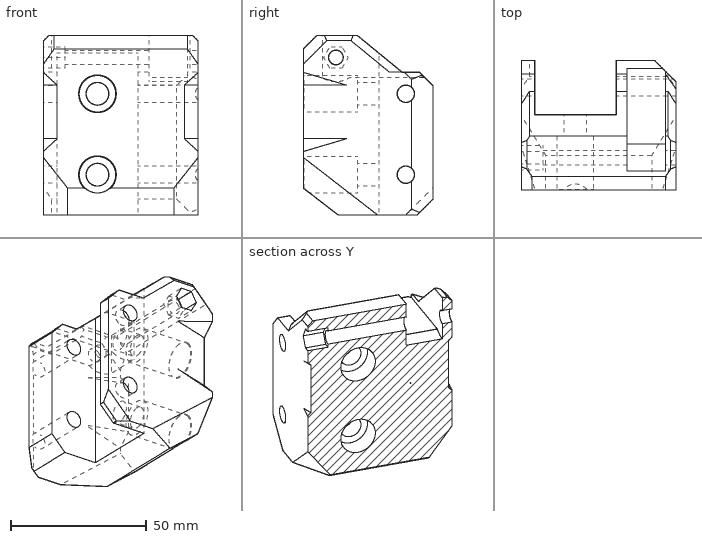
import cadquery as cq

WIDTH = 57.2
DEPTH = 48.0
HEIGHT = 66.5

LEDGE_Z = 52.9
SLOPE_FRONT_Y = 19.95
SLOPE_REAR_Y = 36.6
ROOF_CHAMFER = 5.0
NOSE_RUN_Y = 12.9
NOSE_RISE_Z = 10
HEEL_CHAMFER = 6

ROOF_BEVEL = 2
FRONT_BEVEL = 4
SLOPE_BEVEL = 3.0
NOSE_BEVEL = 9.0
HEEL_BEVEL = 3.0
LEDGE_BEVEL = 4
REAR_CORNER_CHAMFER = 8

LEFT_WALL = 5.0
CHANNEL_WIDTH = 30.0
CHANNEL_FRONT_Y = 27.9

BORE_DIAMETER = 8.3
COUNTERBORE_DIAMETER = 13.5
COUNTERBORE_RIM_DIAMETER = 13.95
COUNTERBORE_DEPTH = 19.95
HOLE_SPACING = 29.9
LOWER_HOLE_Z = 14.95
HOLE_LEVELS = (LOWER_HOLE_Z, LOWER_HOLE_Z + HOLE_SPACING)

CROSS_HOLE_DIAMETER = 6.3
CROSS_HOLE_Y = 37.9

SLOT_LEFT_X = 39.1
SLOT_WIDTH = 14.15
SLOT_FLOOR_Z = 50.95
SLOT_SWING_DIAMETER = 17.95
SLOT_HALF_LENGTH = 5.0
PIVOT_Y = 12.05
PIVOT_Z = 58.3
PIVOT_DIAMETER = 5.3
NUT_SIDES = 6
NUT_ACROSS_CORNERS = 9.1
NUT_DEPTH = 8

RECESS_X = 5.05
RECESS_Y = 15.95
RECESS_CENTER_Z = 38.2
RECESS_FLAT_HEIGHT = 19.8
RECESS_FULL_HEIGHT = 29.25


def mirror_to_right(tool):
    """Mirror a -X side tool about the middle of the width."""
    return tool.mirror("YZ", (WIDTH / 2, 0, 0))


def bevel_tool(start, end, size):
    """Prism that bevels the -X rim of the profile face from start to end, both (y, z)."""
    edge = cq.Vector(0, end[0] - start[0], end[1] - start[1])
    plane = cq.Plane(origin=(0, *start), xDir=(1, 0, 0), normal=edge)
    triangle = [(-size, -size), (2 * size, -size), (-size, 2 * size)]
    return cq.Workplane(plane).polyline(triangle).close().extrude(edge.Length + DEPTH, both=True)


def bevelled_block(profile, bevels):
    """Extrude a convex clockwise (y, z) profile along X and bevel the rims of its faces.

    bevels maps the index of a face's first point to its (-X, +X) bevel sizes.
    """
    block = cq.Workplane("YZ").polyline(profile).close().extrude(WIDTH)
    for index, (left_size, right_size) in bevels.items():
        start = profile[index]
        end = profile[(index + 1) % len(profile)]
        if left_size:
            block = block.cut(bevel_tool(start, end, left_size))
        if right_size:
            block = block.cut(mirror_to_right(bevel_tool(start, end, right_size)))
    return block


def lower_block():
    profile = [
        (NOSE_RUN_Y, 0),
        (0, NOSE_RISE_Z),
        (0, LEDGE_Z),
        (DEPTH - ROOF_CHAMFER, LEDGE_Z),
        (DEPTH, LEDGE_Z - ROOF_CHAMFER),
        (DEPTH, HEEL_CHAMFER),
        (DEPTH - HEEL_CHAMFER, 0),
    ]
    bevels = {
        0: (NOSE_BEVEL, NOSE_BEVEL),
        3: (0, LEDGE_BEVEL),
        5: (HEEL_BEVEL, HEEL_BEVEL),
    }
    block = bevelled_block(profile, bevels)
    return block.edges("|Z and >X and >Y").chamfer(REAR_CORNER_CHAMFER)


def upper_block():
    profile = [
        (0, LEDGE_Z),
        (0, HEIGHT - ROOF_CHAMFER),
        (ROOF_CHAMFER, HEIGHT),
        (SLOPE_FRONT_Y, HEIGHT),
        (SLOPE_REAR_Y, LEDGE_Z),
    ]
    bevels = {
        1: (FRONT_BEVEL, FRONT_BEVEL),
        2: (ROOF_BEVEL, ROOF_BEVEL),
        3: (SLOPE_BEVEL, SLOPE_BEVEL),
    }
    return bevelled_block(profile, bevels)


def rear_channel():
    return cq.Workplane("XY").box(
        CHANNEL_WIDTH, DEPTH, HEIGHT, centered=False
    ).translate((LEFT_WALL, CHANNEL_FRONT_Y, 0))


def front_holes():
    """Counterbored holes along Y on the middle of the channel."""
    centers = [(LEFT_WALL + CHANNEL_WIDTH / 2, z) for z in HOLE_LEVELS]
    rim = (COUNTERBORE_RIM_DIAMETER - COUNTERBORE_DIAMETER) / 2
    front = cq.Workplane("XZ").pushPoints(centers)
    bores = front.circle(BORE_DIAMETER / 2).extrude(-DEPTH)
    counterbores = front.circle(COUNTERBORE_DIAMETER / 2).extrude(-COUNTERBORE_DEPTH)
    rims = front.circle(COUNTERBORE_RIM_DIAMETER / 2).extrude(-rim, taper=45)
    return bores.union(counterbores).union(rims)


def cross_holes():
    centers = [(CROSS_HOLE_Y, z) for z in HOLE_LEVELS]
    return cq.Workplane("YZ").pushPoints(centers).circle(CROSS_HOLE_DIAMETER / 2).extrude(WIDTH)


def lever_slot():
    """Roof slot that runs out through the rear, with a round hollow under the pivot."""
    front_y = PIVOT_Y - SLOT_HALF_LENGTH
    trench = cq.Workplane("XY").box(
        SLOT_WIDTH, DEPTH, HEIGHT, centered=False
    ).translate((SLOT_LEFT_X, front_y, SLOT_FLOOR_Z))
    swing = (
        cq.Workplane("YZ", origin=(SLOT_LEFT_X, PIVOT_Y, PIVOT_Z))
        .circle(SLOT_SWING_DIAMETER / 2)
        .extrude(SLOT_WIDTH)
    )
    hollow_bounds = cq.Workplane("XY").box(
        SLOT_WIDTH, 2 * SLOT_HALF_LENGTH, HEIGHT, centered=False
    ).translate((SLOT_LEFT_X, front_y, 0))
    return trench.union(swing.intersect(hollow_bounds))


def pivot_hole():
    """Through hole along X with a hexagonal nut pocket on the -X side."""
    side = cq.Workplane("YZ", origin=(0, PIVOT_Y, PIVOT_Z))
    hole = side.circle(PIVOT_DIAMETER / 2).extrude(WIDTH)
    nut = side.polygon(NUT_SIDES, NUT_ACROSS_CORNERS).extrude(NUT_DEPTH)
    return hole.union(nut)


def polyhedron(faces):
    """Solid bounded by flat faces, each a list of corner points."""
    polygons = [cq.Wire.makePolygon([cq.Vector(*p) for p in face], close=True) for face in faces]
    shell = cq.Shell.makeShell([cq.Face.makeFromWires(polygon) for polygon in polygons])
    return cq.Workplane(cq.Solid.makeSolid(shell))


def edge_recess():
    """Wedge along the front -X edge whose ends slope out to points on that edge."""
    top = RECESS_CENTER_Z + RECESS_FLAT_HEIGHT / 2
    bottom = RECESS_CENTER_Z - RECESS_FLAT_HEIGHT / 2
    peak_top = (0, 0, RECESS_CENTER_Z + RECESS_FULL_HEIGHT / 2)
    peak_bottom = (0, 0, RECESS_CENTER_Z - RECESS_FULL_HEIGHT / 2)
    front_top = (RECESS_X, 0, top)
    front_bottom = (RECESS_X, 0, bottom)
    side_top = (0, RECESS_Y, top)
    side_bottom = (0, RECESS_Y, bottom)
    return polyhedron([
        (front_top, side_top, side_bottom, front_bottom),
        (peak_top, front_top, front_bottom, peak_bottom),
        (peak_top, peak_bottom, side_bottom, side_top),
        (peak_top, side_top, front_top),
        (peak_bottom, front_bottom, side_bottom),
    ])


recess = edge_recess()
result = (
    lower_block()
    .union(upper_block())
    .cut(rear_channel())
    .cut(front_holes())
    .cut(cross_holes())
    .cut(lever_slot())
    .cut(pivot_hole())
    .cut(recess)
    .cut(mirror_to_right(recess))
    .clean()
)